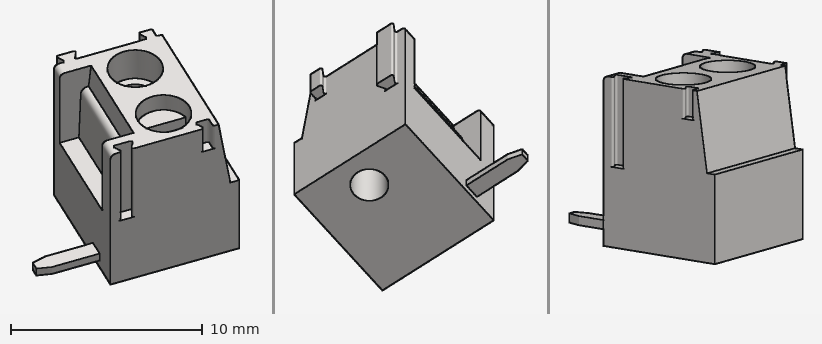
import cadquery as cq
import math


width = 7.61
depth = 7.3
height = 9.1
shelf_height = 4.8
shelf_back_inset = 0.51
top_back_inset = 1.17
front_round = 0.3

pole_pitch = width / 2
open_pole_x = pole_pitch / 2
screw_pole_x = open_pole_x + pole_pitch
well_y = 3.81
well_diameter = 2.9
well_depth = 2.0
through_diameter = 2.0

recess_left = 0.79
recess_width = 5.7
recess_floor = 4.3
recess_floor_y = 1.09
ledge_drop = 1.4
ledge_front_y = 1.21
ledge_back_y = 1.64
recess_top_y = 1.78
ledge_round = 0.4

key_reach = 0.6
key_flank_angle = 30
key_flare = key_reach * math.tan(math.radians(key_flank_angle))
key_round = 0.1
front_key_y = 0.93
front_key_root_half = 0.25
front_key_bottom = recess_floor
back_key_root_y = 5.35
back_key_top_y = 5.82
back_key_length = 1.6
back_key_bottom = height - back_key_length
key_base_depth = 0.22
key_base_margin = 0.22

screw_drop = 1.05
screw_height = well_depth - screw_drop
slot_width = 0.7
slot_depth = 0.8

overall_depth = 10.8
pin_length = overall_depth - depth
pin_width = 0.91
pin_tip_width = 0.5
pin_taper = 0.8
pin_thickness = 0.5
pin_bottom = 0.49


def make_block():
    """Block with a shelf along the back, a sloped upper back face and a rounded top front edge."""
    side_outline = [
        (0, 0),
        (depth, 0),
        (depth, shelf_height),
        (depth - shelf_back_inset, shelf_height),
        (depth - top_back_inset, height),
        (0, height),
    ]
    block = cq.Workplane("YZ").polyline(side_outline).close().extrude(width)
    return block.faces("<Y").edges(">Z").fillet(front_round)


def make_recess():
    """Cutter for the front recess; its back wall steps forward over a rounded ledge."""
    ledge_z = height - ledge_drop
    side_outline = [
        (0, recess_floor),
        (recess_floor_y, recess_floor),
        (ledge_front_y, ledge_z),
        (ledge_back_y, ledge_z),
        (recess_top_y, height),
        (0, height),
    ]
    left_end = cq.Workplane("YZ", origin=(recess_left, 0, 0))
    cutter = left_end.polyline(side_outline).close().extrude(recess_width)
    recess_middle = recess_left + recess_width / 2
    ledge_edge = cq.selectors.NearestToPointSelector((recess_middle, ledge_front_y, ledge_z))
    return cutter.edges("|X").edges(ledge_edge).fillet(ledge_round)


def make_key(tip_low, root_low, root_high, tip_high, bottom):
    """Key on the plane x = 0, with a thin base behind it that carries the rounded roots."""
    corners = [(0, root_low), (-key_reach, tip_low), (-key_reach, tip_high), (0, root_high)]
    base_low = root_low - key_base_margin
    base_high = root_high + key_base_margin
    base = [(0, base_high), (key_base_depth, base_high), (key_base_depth, base_low), (0, base_low)]
    lower_end = cq.Workplane("XY", origin=(0, 0, bottom))
    key = lower_end.polyline(corners + base).close().extrude(height - bottom)

    middle_z = (bottom + height) / 2
    round_edges = key.newObject([])
    for x, y in corners:
        corner = cq.selectors.NearestToPointSelector((x, y, middle_z))
        round_edges = round_edges.add(key.edges("|Z").edges(corner))
    return round_edges.fillet(key_round)


def make_front_key():
    """Full dovetail that flares to both sides."""
    root_low = front_key_y - front_key_root_half
    root_high = front_key_y + front_key_root_half
    return make_key(root_low - key_flare, root_low, root_high, root_high + key_flare, front_key_bottom)


def make_back_key():
    """Short half dovetail that flares only towards the front."""
    return make_key(
        back_key_root_y - key_flare, back_key_root_y, back_key_top_y, back_key_top_y, back_key_bottom
    )


def make_well(x):
    """Cutter for the round well that a screw sits in."""
    floor = cq.Workplane("XY", origin=(x, well_y, height - well_depth))
    return floor.circle(well_diameter / 2).extrude(well_depth)


def make_through_hole(x):
    """Cutter for the narrower hole from the well down through the block."""
    return cq.Workplane("XY", origin=(x, well_y, 0)).circle(through_diameter / 2).extrude(height)


def make_housing():
    """Block with its recess, keys, key slots and screw wells; the open pole is drilled through."""
    housing = make_block().cut(make_recess())
    for key in (make_front_key(), make_back_key()):
        housing = housing.union(key).cut(key.translate((width, 0, 0)))
    for pole_x in (open_pole_x, screw_pole_x):
        housing = housing.cut(make_well(pole_x))
    return housing.cut(make_through_hole(open_pole_x))


def make_screw():
    """Slotted screw head that fills the lower part of its well."""
    top = cq.Workplane("XY", origin=(screw_pole_x, well_y, height - screw_drop))
    head = top.circle(well_diameter / 2).extrude(-screw_height)
    slot = top.rect(slot_width, well_diameter).extrude(-slot_depth)
    return head.cut(slot)


def make_pin():
    """Flat pin that stands on the front face and tapers towards its tip."""
    outline = [
        (-pin_width / 2, 0),
        (-pin_width / 2, pin_taper - pin_length),
        (-pin_tip_width / 2, -pin_length),
        (pin_tip_width / 2, -pin_length),
        (pin_width / 2, pin_taper - pin_length),
        (pin_width / 2, 0),
    ]
    base = cq.Workplane("XY", origin=(screw_pole_x, 0, pin_bottom))
    return base.polyline(outline).close().extrude(pin_thickness)


housing = make_housing()
screw = make_screw()
pin = make_pin()

result = cq.Compound.makeCompound([housing.solids().val(), screw.solids().val(), pin.solids().val()])